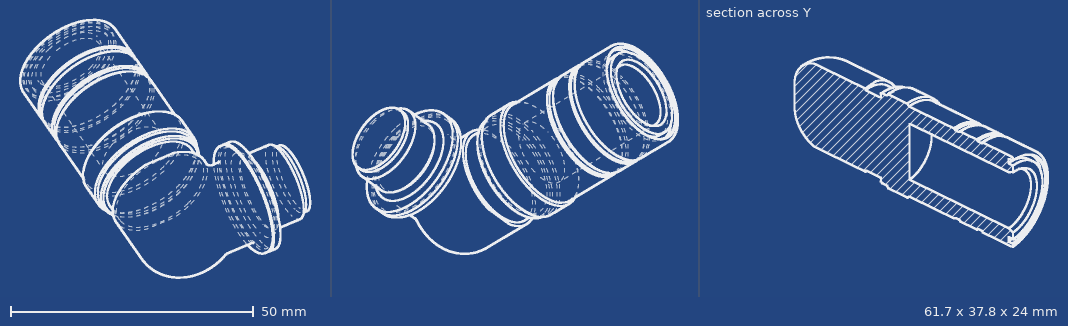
import cadquery as cq
import math

sleeve_radius = 23.0 / 2
sleeve_length = 35.6
sleeve_end_edge = 0.4
front_round = 0.45
groove_radius = 22.4 / 2
collar_radius = 24.0 / 2
collar_start = 27.9
collar_end = 33.9
collar_front_edge = 0.5
collar_back_edge = 0.3

rim_radius = 21 / 2
rim_inner_edge = 0.2
core_radius = 18.8 / 2
face_groove_depth = 1.25
bore_mouth_radius = 15.3 / 2
bore_radius = 14.1 / 2
bore_mouth_length = 1.1
bore_depth = 27.75

neck_radius = 20.5 / 2
elbow_start = 39.6
elbow_radius = 11.1
elbow_nose_round = 8.0
flat_height = 10.6
flat_edge_round = 2.3

stem_radius = 18.0 / 2
overall_length = 61.7
overall_width = 37.75
branch_x = overall_length - collar_radius
nose_overhang = 0.03
elbow_end = branch_x + stem_radius + nose_overhang
joint_round = 1.0
joint_lowest_y = 4.3
flange_radius = collar_radius
flange_bottom = 13.25
flange_split = 14.75
flange_top = 16.3
lip_round = (flange_split - flange_bottom) / 2
stem_flare = 1.1
shoulder_radius = 18.8 / 2
shoulder_top = 17.3
shoulder_round = shoulder_top - flange_top
plug_radius = 16.65 / 2
plug_bottom_edge = 0.55
plug_edge = 23.7
tip_start = 24.8
tip_radius = 14.7 / 2
branch_end = overall_width - collar_radius


def revolve_about_x(points):
    """Turn (x, radius) points about the barrel axis."""
    return cq.Workplane("XY").polyline(points).close().revolve(360, (0, 0, 0), (1, 0, 0))


def make_sleeve():
    sleeve = revolve_about_x([
        (0, 0),
        (0, sleeve_radius),
        (collar_start, sleeve_radius),
        (collar_start + collar_front_edge, collar_radius),
        (collar_end - collar_back_edge, collar_radius),
        (collar_end, sleeve_radius),
        (sleeve_length - sleeve_end_edge, sleeve_radius),
        (sleeve_length, sleeve_radius - sleeve_end_edge),
        (sleeve_length, 0),
    ])
    for start, end, wall in [(8.2, 9.7, 0.2), (14.1, 15.85, 0.4)]:
        sleeve = sleeve.cut(revolve_about_x([
            (start, sleeve_radius),
            (start + wall, groove_radius),
            (end - wall, groove_radius),
            (end, sleeve_radius),
        ]))
    return sleeve.faces("<X").edges().fillet(front_round)


def make_bore():
    return revolve_about_x([
        (0, 0),
        (0, bore_mouth_radius),
        (bore_mouth_length, bore_radius),
        (bore_depth, bore_radius),
        (bore_depth, 0),
    ])


def make_face_groove():
    """Ring groove between the bored core and the sleeve rim."""
    return revolve_about_x([
        (0, core_radius),
        (0, rim_radius + rim_inner_edge),
        (rim_inner_edge, rim_radius),
        (face_groove_depth, rim_radius),
        (face_groove_depth, core_radius),
    ])


def make_elbow():
    length = elbow_end - elbow_start
    elbow = cq.Workplane("YZ", origin=(elbow_start, 0, 0)).circle(elbow_radius).extrude(length)
    elbow = elbow.faces(">X").edges().fillet(elbow_nose_round)
    between_flats = cq.Workplane("XY").box(
        2 * overall_length, 2 * overall_length, 2 * flat_height
    )
    elbow = elbow.intersect(between_flats)
    for side in (">Z", "<Z"):
        flat_edges = elbow.faces(side).edges("not(<X)")
        elbow = flat_edges.fillet(flat_edge_round)
    return elbow


def make_branch_top():
    """Flange, shoulder and plug, turned about the branch axis."""
    arc_mid = 1 - math.sqrt(0.5)
    profile = (
        cq.Workplane("XY", origin=(branch_x, 0, 0))
        .moveTo(0, flange_bottom - stem_flare)
        .lineTo(stem_radius, flange_bottom - stem_flare)
        .threePointArc(
            (stem_radius + stem_flare * arc_mid, flange_bottom - stem_flare * arc_mid),
            (stem_radius + stem_flare, flange_bottom),
        )
        .lineTo(flange_radius - lip_round, flange_bottom)
        .threePointArc(
            (flange_radius, flange_bottom + lip_round),
            (flange_radius - lip_round, flange_split),
        )
        .lineTo(flange_radius, flange_split)
        .lineTo(flange_radius, flange_top)
        .lineTo(shoulder_radius, flange_top)
        .threePointArc(
            (shoulder_radius - shoulder_round * arc_mid, shoulder_top - shoulder_round * arc_mid),
            (shoulder_radius - shoulder_round, shoulder_top),
        )
        .lineTo(plug_radius - plug_bottom_edge, shoulder_top)
        .lineTo(plug_radius, shoulder_top + plug_bottom_edge)
        .lineTo(plug_radius, plug_edge)
        .lineTo(tip_radius, tip_start)
        .lineTo(tip_radius, branch_end)
        .lineTo(0, branch_end)
        .close()
    )
    return profile.revolve(360, (0, 0, 0), (0, 1, 0))


def make_neck():
    length = elbow_start - sleeve_length
    return cq.Workplane("YZ", origin=(sleeve_length, 0, 0)).circle(neck_radius).extrude(length)


def is_joint_edge(edge):
    """True for the curved seam where the stem leaves the elbow."""
    return edge.geomType() == "BSPLINE" and edge.Center().y > joint_lowest_y


def make_elbow_with_stem():
    stem_length = flange_bottom - stem_flare
    stem = cq.Workplane("XZ", origin=(branch_x, 0, 0)).circle(stem_radius).extrude(-stem_length)
    joined = make_elbow().union(stem)
    return joined.edges().filter(is_joint_edge).fillet(joint_round)


result = (
    make_elbow_with_stem()
    .union(make_branch_top())
    .union(make_neck())
    .union(make_sleeve())
    .cut(make_bore())
    .cut(make_face_groove())
)